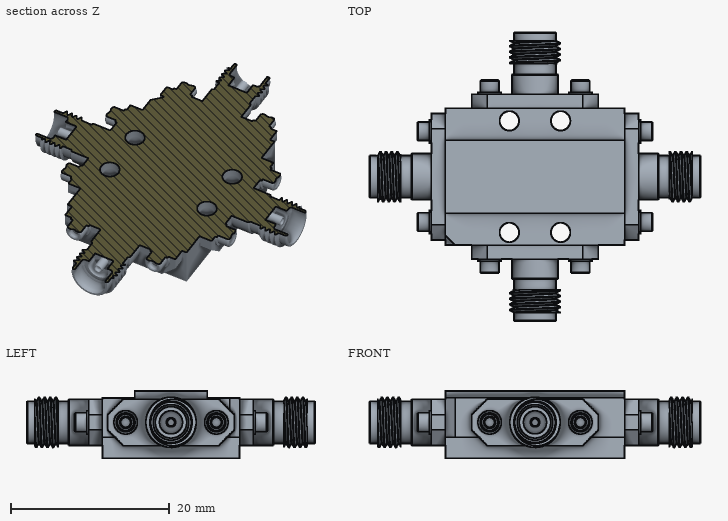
import cadquery as cq

body_length = 22.65
body_width = 17.3
base_bottom = -4.55
parting_height = -1.9
housing_top = 3.1
housing_corner_chamfer = 1.25
lid_width = 9.2
lid_height = 0.88
mount_hole_diameter = 2.42
mount_hole_spacing_x = 6.47
mount_hole_spacing_y = 14.07

flange_width = 16.0
flange_height = 5.85
flange_thickness = 1.75
flange_corner_chamfer = 1.95

collar_diameter = 5.85
collar_length = 2.55
collar_chamfer = 0.13
barrel_diameter = 5.35
barrel_length = 5.25
barrel_chamfer = 0.13
tip_position = flange_thickness + collar_length + barrel_length

bore_diameter = 4.5
bore_depth = 1.95
seat_diameter = 3.95
seat_depth = 2.17
socket_diameter = 2.92
socket_depth = 3.75
pin_diameter = 1.15
pin_hole_diameter = 0.9
pin_hole_depth = 1.25
pin_tip_depth = 2.1

thread_diameter = 6.35
thread_pitch = 0.7
thread_length = 2.92
thread_end_depth = 1.05
thread_crest_width = 0.1
thread_root_width = 0.65
thread_root_overlap = 0.05
helix_start_depth = 4.75
helix_turns = 6

screw_spacing = 11.45
washer_diameter = 2.95
washer_thickness = 0.25
screw_head_diameter = 2.4
screw_head_height = 1.55
screw_head_chamfer = 0.15
screw_socket_diameter = 1.25
screw_socket_mouth_chamfer = 0.13
screw_socket_depth = 0.7


def cylinder(diameter, bottom, height):
    """Cylinder about Z, rising from the height called bottom."""
    return cq.Workplane("XY").workplane(offset=bottom).circle(diameter / 2).extrude(height)


def block(width, bottom, top):
    """Block of the full body length, centred on the Z axis."""
    return cq.Workplane("XY").workplane(offset=bottom).rect(body_length, width).extrude(top - bottom)


def mount_holes():
    """Four vertical holes that pass through housing and base plate."""
    return (
        cq.Workplane("XY")
        .workplane(offset=base_bottom)
        .rect(mount_hole_spacing_x, mount_hole_spacing_y, forConstruction=True)
        .vertices()
        .circle(mount_hole_diameter / 2)
        .extrude(housing_top - base_bottom)
    )




def port_flange():
    """Octagonal mounting flange."""
    flange = cq.Workplane("XY").rect(flange_height, flange_width).extrude(flange_thickness)
    return flange.edges("|Z").chamfer(flange_corner_chamfer)


def port_thread():
    """Helical ridge, cut off square at both ends of the threaded length."""
    root_radius = barrel_diameter / 2 - thread_root_overlap
    crest_radius = thread_diameter / 2
    half_root = thread_root_width / 2
    half_crest = thread_crest_width / 2

    helix = cq.Wire.makeHelix(thread_pitch, helix_turns * thread_pitch, root_radius)
    ridge = (
        cq.Workplane("XZ")
        .polyline(
            [
                (root_radius, -half_root),
                (crest_radius, -half_crest),
                (crest_radius, half_crest),
                (root_radius, half_root),
            ]
        )
        .close()
        .sweep(cq.Workplane(helix), isFrenet=True)
        .translate((0, 0, tip_position - helix_start_depth))
    )
    thread_start = tip_position - thread_end_depth - thread_length
    threaded_zone = cylinder(2 * thread_diameter, thread_start, thread_length)
    return ridge.intersect(threaded_zone)


def port_shell():
    """Collar and threaded barrel with a stepped bore around the centre pin."""
    barrel_start = flange_thickness + collar_length
    collar = cylinder(collar_diameter, flange_thickness, collar_length)
    collar = collar.faces(">Z").edges().chamfer(collar_chamfer)
    barrel = cylinder(barrel_diameter, barrel_start, barrel_length)
    barrel = barrel.faces(">Z").edges().chamfer(barrel_chamfer)
    shell = collar.union(barrel).union(port_thread())

    bore = (
        cq.Workplane("XZ")
        .polyline(
            [
                (0, tip_position),
                (bore_diameter / 2, tip_position),
                (bore_diameter / 2, tip_position - bore_depth),
                (seat_diameter / 2, tip_position - seat_depth),
                (socket_diameter / 2, tip_position - seat_depth),
                (socket_diameter / 2, tip_position - socket_depth),
                (0, tip_position - socket_depth),
            ]
        )
        .close()
        .revolve(360, (0, 0, 0), (0, 1, 0))
    )
    pin_tip = tip_position - pin_tip_depth
    pin = cylinder(pin_diameter, tip_position - socket_depth, socket_depth - pin_tip_depth)
    pin_hole = cylinder(pin_hole_diameter, pin_tip - pin_hole_depth, pin_hole_depth)
    return shell.cut(bore).union(pin.cut(pin_hole))


def port_screw():
    """Socket-head screw with its washer, standing on the flange."""
    washer_top = flange_thickness + washer_thickness
    head_top = washer_top + screw_head_height
    washer = cylinder(washer_diameter, flange_thickness, washer_thickness)
    head = cylinder(screw_head_diameter, washer_top, screw_head_height)
    head = head.faces(">Z").edges().chamfer(screw_head_chamfer)
    socket = cylinder(screw_socket_diameter, head_top - screw_socket_depth, screw_socket_depth)
    head = head.cut(socket)
    socket_mouth = head.faces(">Z").edges(cq.selectors.RadiusNthSelector(0))
    head = socket_mouth.chamfer(screw_socket_mouth_chamfer)
    return washer.union(head)


def make_port():
    """Complete port: flange, shell and two screws, turned to point along +X."""
    port = port_flange().union(port_shell())
    for side in (-1, 1):
        port = port.union(port_screw().translate((0, side * screw_spacing / 2, 0)))
    return port.rotate((0, 0, 0), (0, 1, 0), 90)


def make_base_plate():
    """Plain rectangular plate under the housing."""
    return block(body_width, base_bottom, parting_height).cut(mount_holes())


def make_housing():
    """Housing with one chamfered corner, a raised lid strip and a port on each side."""
    housing = block(body_width, parting_height, housing_top)
    housing = housing.edges("|Z and <X and <Y").chamfer(housing_corner_chamfer)
    housing = housing.union(block(lid_width, housing_top, housing_top + lid_height))
    housing = housing.cut(mount_holes())

    port = make_port()
    for quarter_turn in range(4):
        face_distance = (body_width if quarter_turn % 2 else body_length) / 2
        placed_port = port.translate((face_distance, 0, 0))
        placed_port = placed_port.rotate((0, 0, 0), (0, 0, 1), 90 * quarter_turn)
        housing = housing.union(placed_port)
    return housing


base_plate = make_base_plate()
housing = make_housing()

result = cq.Compound.makeCompound([base_plate.val(), *housing.vals()])